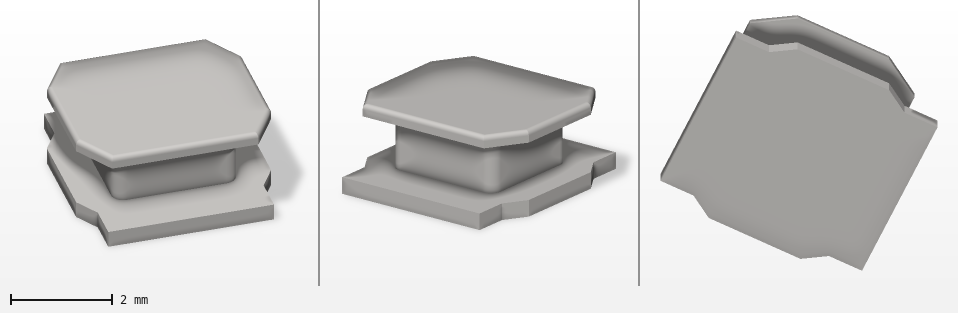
import cadquery as cq

total_height = 1.8
octagon_length_x = 3.6
octagon_length_y = 4.0
octagon_flat_x = 2.0
octagon_flat_y = 3.0

base_thickness = 0.348
plate_length_x = 4.4
plate_length_y = 3.4

core_length_x = 2.41
core_length_y = 2.545
core_corner_radius = 0.24

top_thickness = 0.25
top_edge_radius = 0.1

top_underside = total_height - top_thickness
core_height = top_underside - base_thickness


def octagonal_flange(bottom, thickness):
    """Rectangle with its four corners cut off, extruded upward from bottom."""
    half_x = octagon_length_x / 2
    half_y = octagon_length_y / 2
    flat_x = octagon_flat_x / 2
    flat_y = octagon_flat_y / 2
    outline = [
        (flat_x, half_y),
        (half_x, flat_y),
        (half_x, -flat_y),
        (flat_x, -half_y),
        (-flat_x, -half_y),
        (-half_x, -flat_y),
        (-half_x, flat_y),
        (-flat_x, half_y),
    ]
    return cq.Workplane("XY").workplane(offset=bottom).polyline(outline).close().extrude(thickness)


def base_flange():
    plate = cq.Workplane("XY").rect(plate_length_x, plate_length_y).extrude(base_thickness)
    return octagonal_flange(0, base_thickness).union(plate)


def core():
    block = (
        cq.Workplane("XY")
        .workplane(offset=base_thickness)
        .rect(core_length_x, core_length_y)
        .extrude(core_height)
    )
    return block.edges("|Z").fillet(core_corner_radius)


def top_flange():
    return octagonal_flange(top_underside, top_thickness).faces(">Z").edges().fillet(top_edge_radius)


result = base_flange().union(core()).union(top_flange())